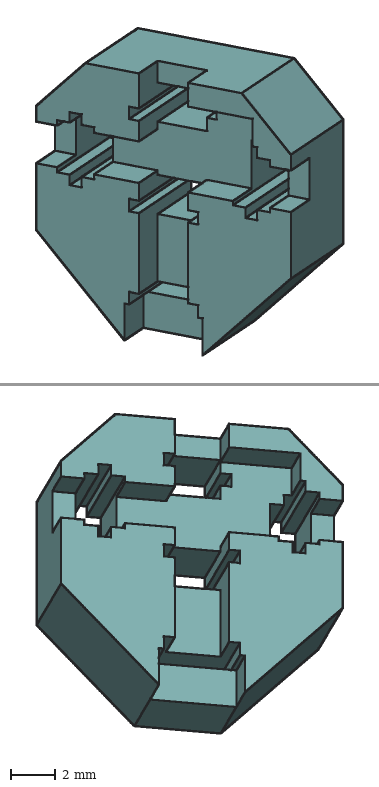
import cadquery as cq

size = 13.0
half = size / 2
thickness = 5.0
front = -thickness / 2
top_chamfer = 2.51
bottom_chamfer = 4.51

groove_depth = 1.8
stem_width = 2.51
cross_top = 3.22
cross_bottom = 1.22
foot_width = size - 2 * bottom_chamfer
corner_right = 4.54
corner_top = 5.35

opening_length = stem_width
opening_width = 1.88
slot_length = 3.51
slot_width = 0.6
top_center = 4.51
middle_center = 0.06
side_center = 4.48
left_center_z = 2.24
right_center_z = 2.28
foot_slot_bottom = -4.72


def front_box(x_min, x_max, z_min, z_max, depth):
    """Box running back from the front face to the given depth."""
    return cq.Workplane("XY").box(
        x_max - x_min, depth, z_max - z_min, centered=False
    ).translate((x_min, front, z_min))


def centered_box(x, z, width, height, depth):
    return front_box(x - width / 2, x + width / 2, z - height / 2, z + height / 2, depth)


def crossed_opening(x, z, upright):
    """Through opening with small side slots at the ends of its long direction."""
    body = (opening_length, opening_width)
    slot = (slot_length, slot_width)
    if upright:
        body = body[::-1]
        slot = slot[::-1]
    return centered_box(x, z, *body, thickness).union(centered_box(x, z, *slot, thickness))


outline = [
    (half - top_chamfer, half),
    (half, half - top_chamfer),
    (half, bottom_chamfer - half),
    (half - bottom_chamfer, -half),
    (bottom_chamfer - half, -half),
    (-half, bottom_chamfer - half),
    (-half, half - top_chamfer),
    (top_chamfer - half, half),
]
result = cq.Workplane("XZ").polyline(outline).close().extrude(thickness / 2, both=True)

grooves = [
    (-stem_width / 2, stem_width / 2, -half, half),
    (-half, half, cross_bottom, cross_top),
    (-stem_width / 2, corner_right, cross_bottom, corner_top),
    (-foot_width / 2, foot_width / 2, -half, foot_slot_bottom),
]
for limits in grooves:
    result = result.cut(front_box(*limits, groove_depth))

openings = [
    (0, top_center, False),
    (0, middle_center, False),
    (-side_center, left_center_z, True),
    (side_center, right_center_z, True),
]
for x, z, upright in openings:
    result = result.cut(crossed_opening(x, z, upright))

result = result.cut(
    centered_box(0, foot_slot_bottom + slot_width / 2, slot_length, slot_width, thickness)
)